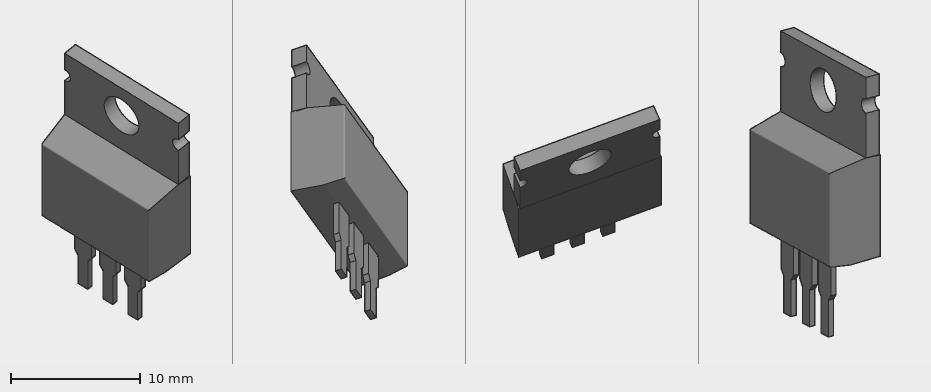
import cadquery as cq
import math


housing_width = 11.88
housing_depth = 4.4
side_draft = math.radians(6.2)
top_slope = math.radians(12.3)
bottom_slope = math.radians(5)
ridge_drop = 8.64
ridge_depth = 2.63
front_edge_radius = 0.12

tab_thickness = 1.27
tab_width = housing_width - 2 * tab_thickness * math.tan(side_draft)
tab_height = 6.68
hole_diameter = 3.54
hole_drop = 2.99
notch_radius = 0.6
notch_drop = 2.38

overall_height = 22.11
lead_count = 3
lead_pitch = 2.54
lead_thickness = 0.5
lead_width = 1.7
tip_width = 1.0
tip_length = 3.05
shoulder_height = 0.5
lead_bottom = tab_height - overall_height


def make_housing():
    """Moulded block: sloping top and bottom, sides drafted toward a rounded front face."""
    front_depth = housing_depth - tab_thickness
    top_front_z = -front_depth * math.tan(top_slope)
    bottom_back_z = -ridge_drop + ridge_depth * math.tan(bottom_slope)
    bottom_front_z = -ridge_drop + (housing_depth - ridge_depth) * math.tan(bottom_slope)
    side_profile = (
        cq.Workplane("YZ")
        .polyline([
            (0, 0),
            (-tab_thickness, 0),
            (-housing_depth, top_front_z),
            (-housing_depth, bottom_front_z),
            (-ridge_depth, -ridge_drop),
            (0, bottom_back_z),
        ])
        .close()
        .extrude(housing_width / 2, both=True)
    )
    half_back = housing_width / 2
    half_front = half_back - housing_depth * math.tan(side_draft)
    drafted_sides = (
        cq.Workplane("XY")
        .polyline([
            (-half_back, 0),
            (half_back, 0),
            (half_front, -housing_depth),
            (-half_front, -housing_depth),
        ])
        .close()
        .extrude(-ridge_drop)
    )
    block = side_profile.intersect(drafted_sides)
    return block.faces("<Y").edges().fillet(front_edge_radius).solids()


def make_tab():
    """Flat mounting plate with a screw hole and a half-round notch in each side edge."""
    plate = cq.Workplane("XY").box(tab_width, tab_thickness, tab_height, centered=(True, False, False))
    plate = plate.translate((0, -tab_thickness, 0))
    hole = (
        cq.Workplane("XZ")
        .center(0, tab_height - hole_drop)
        .circle(hole_diameter / 2)
        .extrude(tab_thickness)
    )
    notches = (
        cq.Workplane("XZ")
        .pushPoints([(side * tab_width / 2, tab_height - notch_drop) for side in (-1, 1)])
        .circle(notch_radius)
        .extrude(tab_thickness)
    )
    return plate.cut(hole).cut(notches).solids()


def make_lead(x, housing):
    """Flat lead with a narrow tip; its top end is trimmed to the underside of the housing."""
    shoulder_bottom = lead_bottom + tip_length
    shoulder_top = shoulder_bottom + shoulder_height
    lead_top = -ridge_drop + lead_thickness * math.tan(bottom_slope)
    blank = (
        cq.Workplane("XZ", origin=(x, -ridge_depth + lead_thickness / 2, 0))
        .polyline([
            (-tip_width / 2, lead_bottom),
            (tip_width / 2, lead_bottom),
            (tip_width / 2, shoulder_bottom),
            (lead_width / 2, shoulder_top),
            (lead_width / 2, lead_top),
            (-lead_width / 2, lead_top),
            (-lead_width / 2, shoulder_top),
            (-tip_width / 2, shoulder_bottom),
        ])
        .close()
        .extrude(lead_thickness)
    )
    return blank.cut(housing).solids()


housing = make_housing()
tab = make_tab()
leads = [
    make_lead((index - (lead_count - 1) / 2) * lead_pitch, housing)
    for index in range(lead_count)
]

result = cq.Compound.makeCompound([housing.val(), tab.val(), *[lead.val() for lead in leads]])